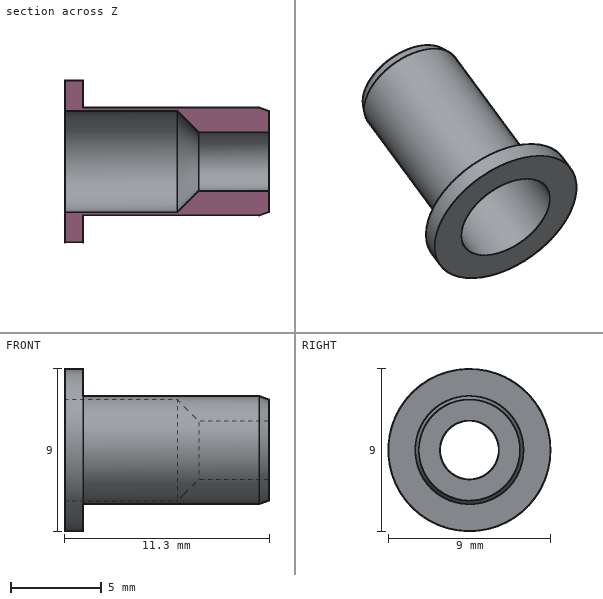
import cadquery as cq
import math

length = 11.3
flange_diameter = 9.0
flange_thickness = 1.01
shank_diameter = 6.0
tip_taper_length = 0.55
tip_taper_angle = 20.0
bore_diameter = 5.6
bore_depth = 6.22
hole_diameter = 3.24
cone_half_angle = 45.0

flange_radius = flange_diameter / 2
shank_radius = shank_diameter / 2
bore_radius = bore_diameter / 2
hole_radius = hole_diameter / 2
tip_radius = shank_radius - tip_taper_length * math.tan(math.radians(tip_taper_angle))
cone_length = (bore_radius - hole_radius) / math.tan(math.radians(cone_half_angle))

half_section = [
    (0, bore_radius),
    (0, flange_radius),
    (flange_thickness, flange_radius),
    (flange_thickness, shank_radius),
    (length - tip_taper_length, shank_radius),
    (length, tip_radius),
    (length, hole_radius),
    (bore_depth + cone_length, hole_radius),
    (bore_depth, bore_radius),
]

result = (
    cq.Workplane("XY")
    .polyline(half_section)
    .close()
    .revolve(360, (0, 0, 0), (1, 0, 0))
)